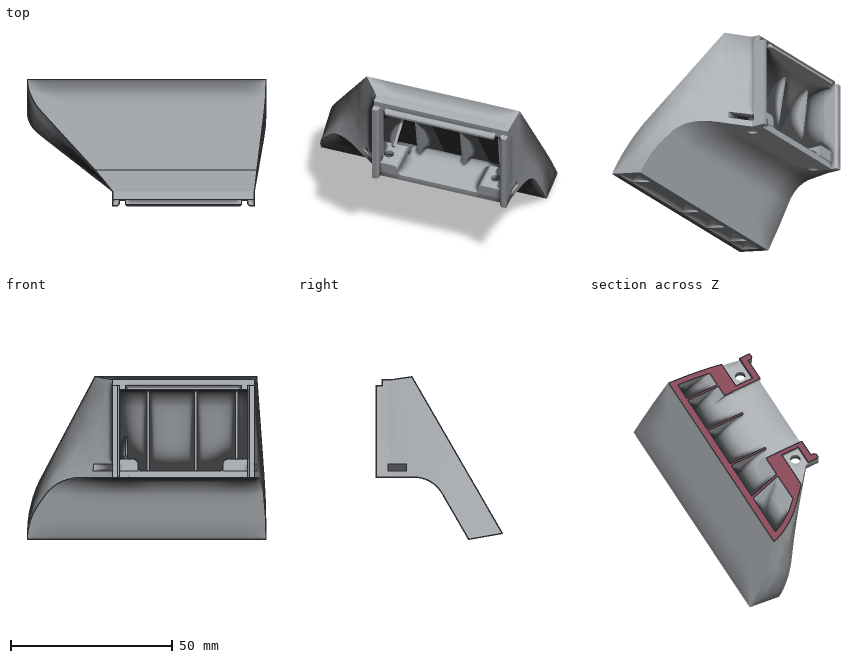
import cadquery as cq
import math

total_width = 74.0
total_depth = 39.21
total_height = 50.49

frame_width = 44.0
frame_height = 30.25
frame_front = 1.9
frame_back = 4.5
frame_wall = 2.1
sill = 2.0
opening_top = 27.25

rail_top = 28.4
rail_chamfer = 0.6
bar_length = 36.0
bar_chamfer = 0.45

crest_z = 31.2
wall = 2.0
lean = math.radians(30)
rim_tilt = math.radians(10)
duct_thickness = 10.0
outer_bend_radius = 10.0
floor_bend_radius = 12.0
ceiling_bend_radius = 9.5
left_spread = 26.4
right_spread = total_width - frame_width - left_spread
back_flare_y = 5.2
front_blend = 7.3
back_blend = 10.65
station_count = 10
overrun = 10.0
margin = 4.0

pad_front = 1.6
pad_top = 5.6
pad_back = 11.3
ramp_end_y = 17.6
ramp_end_z = 0.6
left_pad_end = 7.9
right_pad_end = 34.2
pad_round = 1.5
pad_foot = 1.2
screw_diameter = 3.2
screw_y = 6.3
screw_margin = 4.4
nut_width = 5.8
nut_y = 6.6
nut_height = 2.1

vane_thickness = 0.8
vane_top_y = 8.5
vane_places = ((11.1, 12.8), (25.75, 12.8), (38.5, 11.6))
side_vane_x = 4.3
side_vane_y = 19.6
side_vane_angle = math.radians(32.8)
side_vane_depth = 12.0

tan_lean = math.tan(lean)
rim_run = duct_thickness / math.cos(lean) / (1 + math.tan(rim_tilt) * tan_lean)
rim_rise = rim_run * math.tan(rim_tilt)
rim_front_y = total_depth - rim_run
rim_front_z = crest_z - total_height
rim_back_z = rim_front_z + rim_rise
crest_y = total_depth - (crest_z - rim_back_z) * tan_lean

pivot_y = frame_back
pivot_z = rim_front_z - (rim_front_y - pivot_y) * math.tan(rim_tilt)
rim_angle = math.pi / 2 - rim_tilt

front_plane_y = rim_front_y + rim_front_z * tan_lean
back_plane_y = total_depth + rim_back_z * tan_lean
inner_front_y = front_plane_y + wall / math.cos(lean)
inner_back_y = back_plane_y - wall / math.cos(lean)


def flare(y, start_y, rim_y, blend, spread):
    """Sideways spread and its slope at depth y: straight, then an arc that ends square to the rim."""
    to_rim = (rim_y - y) / math.sin(lean)
    straight_length = (rim_y - start_y) / math.sin(lean) - blend
    slope = spread / straight_length
    angle = math.atan(slope)
    radius = blend / math.tan(angle / 2)
    if y <= frame_back:
        return slope * (y - frame_back) / math.sin(lean), slope
    if to_rim <= 0:
        return spread, 0.0
    if to_rim < radius * math.sin(angle):
        drop = math.sqrt(radius**2 - to_rim**2)
        return spread - (radius - drop), to_rim / drop
    return spread - slope * (to_rim - blend), slope


def reach_plane(angle, plane_y):
    """Distance from the pivot to a leaning plane, along a line at an angle to the vertical."""
    return (plane_y - pivot_y - pivot_z * tan_lean) / (math.sin(angle) + math.cos(angle) * tan_lean)


def bend(radius, sharp_y, sharp_z):
    """Start, middle and end of the arc between a level plane and a leaning plane."""
    turn = math.pi / 2 - lean
    start_y = sharp_y - radius * math.tan(turn / 2)
    return [
        (start_y + radius * math.sin(turned), sharp_z - radius * (1 - math.cos(turned)))
        for turned in (0, turn / 2, turn)
    ]


def reach_floor(angle):
    """Distance from the pivot to the outside of the floor: level, then bent, then leaning."""
    (bend_y, _), _, (_, bend_end_z) = bend(outer_bend_radius, front_plane_y, 0)
    to_level = -pivot_z / math.cos(angle)
    if pivot_y + to_level * math.sin(angle) <= bend_y:
        return to_level
    centre_y, centre_z = bend_y - pivot_y, -outer_bend_radius - pivot_z
    along = centre_y * math.sin(angle) + centre_z * math.cos(angle)
    across = centre_y * math.cos(angle) - centre_z * math.sin(angle)
    to_bend = along + math.sqrt(max(0.0, outer_bend_radius**2 - across**2))
    if abs(across) < outer_bend_radius and pivot_z + to_bend * math.cos(angle) >= bend_end_z:
        return to_bend
    return reach_plane(angle, front_plane_y)


def station(angle, inset):
    """Wire of one duct cross-section; an inset moves the side walls inwards."""
    near, far = reach_floor(angle), reach_plane(angle, back_plane_y)
    ends = (
        (near, frame_back, rim_front_y, front_blend),
        (far, back_flare_y, total_depth, back_blend),
    )

    def side(spread):
        """Reach and side offset at both ends, carried on straight beyond the duct."""
        offsets = []
        for reach, start_y, rim_y, blend in ends:
            offset, slope = flare(pivot_y + reach * math.sin(angle), start_y, rim_y, blend, spread)
            offsets.append(offset - inset * math.hypot(1, slope))
        growth = (offsets[1] - offsets[0]) / (far - near)
        return [
            (near - margin, offsets[0] - growth * margin),
            (far + margin, offsets[1] + growth * margin),
        ]

    corners = [(-offset, reach) for reach, offset in side(left_spread)]
    corners += [(frame_width + offset, reach) for reach, offset in reversed(side(right_spread))]
    points = [
        cq.Vector(x, pivot_y + reach * math.sin(angle), pivot_z + reach * math.cos(angle))
        for x, reach in corners
    ]
    return cq.Wire.makePolygon(points, close=True)


def side_envelope(inset):
    """Solid bounded by the flared side walls."""
    stations = [station(rim_angle * i / station_count, inset) for i in range(-1, station_count + 2)]
    return cq.Workplane(cq.Solid.makeLoft(stations))


def swept_profile(sketch):
    """Extrude a YZ profile wider than the whole part."""
    length = frame_width + left_spread + right_spread + 2 * overrun
    return sketch.extrude(length).translate((-left_spread - overrun, 0, 0))


def outer_profile():
    """Duct outline seen along X, without the frame."""
    floor_bend = bend(outer_bend_radius, front_plane_y, 0)
    return swept_profile(
        cq.Workplane("YZ")
        .moveTo(frame_back, 0)
        .lineTo(*floor_bend[0])
        .threePointArc(*floor_bend[1:])
        .lineTo(rim_front_y, rim_front_z)
        .lineTo(total_depth, rim_back_z)
        .lineTo(crest_y, crest_z)
        .lineTo(frame_back, frame_height)
        .close()
    )


def inner_profile():
    """Air passage seen along X, running out through the rim."""
    end_z = rim_front_z - overrun
    floor_bend = bend(floor_bend_radius, inner_front_y - sill * tan_lean, sill)
    ceiling_bend = bend(ceiling_bend_radius, inner_back_y - opening_top * tan_lean, opening_top)
    return swept_profile(
        cq.Workplane("YZ")
        .moveTo(frame_back, sill)
        .lineTo(*floor_bend[0])
        .threePointArc(*floor_bend[1:])
        .lineTo(inner_front_y - end_z * tan_lean, end_z)
        .lineTo(inner_back_y - end_z * tan_lean, end_z)
        .lineTo(*ceiling_bend[2])
        .threePointArc(ceiling_bend[1], ceiling_bend[0])
        .lineTo(frame_back, opening_top)
        .close()
    )


def block(x, y, z):
    """Box between pairs of limits."""
    size = (x[1] - x[0], y[1] - y[0], z[1] - z[0])
    return cq.Workplane().box(*size, centered=False).translate((x[0], y[0], z[0]))


def rails():
    """Upright rail on each side of the opening, with its inner front edge chamfered."""
    left = block((0, frame_wall), (0, frame_front), (0, rail_top))
    left = left.edges("|Z and <Y and >X").chamfer(rail_chamfer)
    right = left.mirror("YZ").translate((frame_width, 0, 0))
    return left.union(right)


def locating_bar():
    """Bar along the top of the opening, chamfered at the front except underneath."""
    start = (frame_width - bar_length) / 2
    bar = block((start, start + bar_length), (0, frame_front), (opening_top, rail_top))
    return bar.faces("<Y").edges("not <Z").chamfer(bar_chamfer)


def pad(end, direction):
    """Pad reaching from its end face sideways into the duct wall, with a ramp behind it."""
    length = frame_width / 2
    body = (
        cq.Workplane("YZ")
        .moveTo(pad_front, sill)
        .lineTo(pad_front, pad_top)
        .lineTo(pad_back, pad_top)
        .lineTo(ramp_end_y, ramp_end_z)
        .lineTo(pad_back, ramp_end_z)
        .lineTo(pad_back, sill)
        .close()
        .extrude(length)
    )
    body = body.edges("|Y and <X and >Z").fillet(pad_round)
    foot = block((-pad_foot, 0), (frame_front, pad_back), (sill, sill + pad_foot))
    hollow = (
        cq.Workplane("XZ", origin=(-pad_foot, 0, sill + pad_foot))
        .circle(pad_foot)
        .extrude(-2 * pad_back)
    )
    body = body.union(foot.cut(hollow))
    if direction < 0:
        body = body.mirror("YZ")
    return body.translate((end, 0, 0))


def screw_cut(pad_end, direction):
    """Screw hole through the pad and a nut slot open to the outside."""
    x = pad_end + direction * screw_margin
    hole = cq.Workplane().center(x, screw_y).circle(screw_diameter / 2).extrude(pad_top)
    limits = sorted((x - direction * nut_width / 2, x + direction * frame_width / 2))
    nut_slot = block(limits, (nut_y - nut_width / 2, nut_y + nut_width / 2), (sill, sill + nut_height))
    return hole.union(nut_slot)


def straight_vane(x, floor_y):
    """Upright vane along the duct, with a leaning front edge."""
    lean_back = (floor_y - vane_top_y) / (opening_top - sill)
    outline = (
        cq.Workplane("YZ", origin=(x, 0, 0))
        .moveTo(vane_top_y, opening_top)
        .lineTo(floor_y - (rim_front_z - sill) * lean_back, rim_front_z)
        .lineTo(total_depth, rim_front_z)
        .lineTo(total_depth, opening_top)
        .close()
    )
    return outline.extrude(vane_thickness / 2, both=True)


def side_vane():
    """Short vane standing square on the back plane, turned along the flared side."""
    back_plane = cq.Plane(
        origin=(side_vane_x, side_vane_y, (inner_back_y - side_vane_y) / tan_lean),
        xDir=(1, 0, 0),
        normal=(0, math.cos(lean), math.sin(lean)),
    )
    return (
        cq.Workplane(back_plane)
        .transformed(rotate=(0, 0, math.degrees(side_vane_angle)))
        .center(0, total_height / 2)
        .rect(vane_thickness, total_height)
        .extrude(-side_vane_depth)
    )


outer = outer_profile().intersect(side_envelope(0))
frame = block((0, frame_width), (frame_front, frame_back), (0, frame_height))
opening = block((frame_wall, frame_width - frame_wall), (0, frame_back), (sill, opening_top))
pads = ((left_pad_end, -1), (right_pad_end, 1))

cavity = inner_profile().intersect(side_envelope(wall)).union(opening)
for end, direction in pads:
    cavity = cavity.cut(pad(end, direction))
for x, floor_y in vane_places:
    cavity = cavity.cut(straight_vane(x, floor_y))
cavity = cavity.cut(side_vane())

result = outer.union(frame).cut(cavity)
for end, direction in pads:
    result = result.union(pad(end, direction).intersect(opening)).cut(screw_cut(end, direction))
result = result.union(rails()).union(locating_bar())